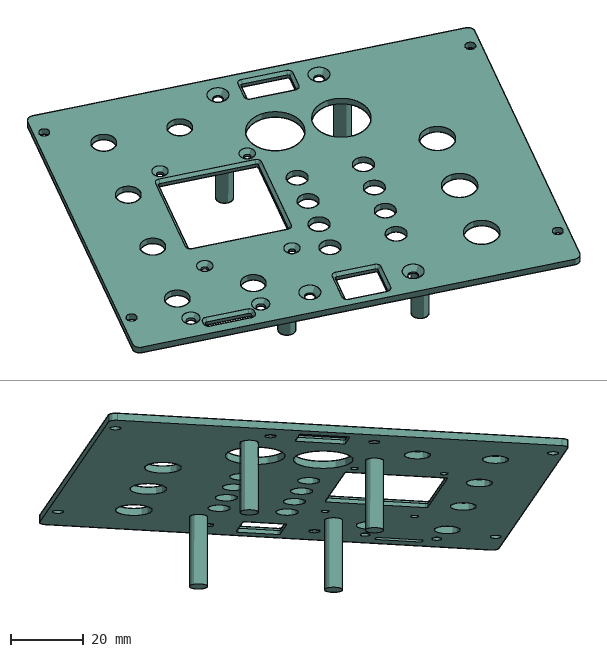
import cadquery as cq

PANEL_WIDTH = 101.3
PANEL_LENGTH = 128.4
PANEL_THICKNESS = 2.0
PANEL_CORNER_RADIUS = 2.0

TOTAL_HEIGHT = 22.0
STANDOFF_LENGTH = TOTAL_HEIGHT - PANEL_THICKNESS
STANDOFF_DIAMETER = 5.0
STANDOFF_CENTRES = [(-36.6, 22.5), (-26.6, -14.5), (35.3, 22.5), (31.2, -14.5)]

MOUNT_HOLE_DIAMETER = 3.0
MOUNT_SPACING_X = 81.0
MOUNT_SPACING_Y = 122.4
MOUNT_CENTRE_X = -2.6

JACK_DIAMETER = 10.0
JACK_SPACING = 20.5
JACK_ROW_CENTRE = (11.8, 41.1)
JACK_COUNT = 3

ROW_SPACING = 19.0
ROWS_CENTRE_Y = 9.0
LARGE_HOLE_DIAMETER = 16.3
LARGE_HOLE_X = -24.8
BUTTON_DIAMETER = 6.0
BUTTON_SPACING = 10.1
BUTTON_ROW_CENTRE_X = 10.8
BUTTON_COUNT = 4

KNOB_DIAMETER = 7.0
KNOB_SPACING = 22.7
KNOB_COUNT = 4
KNOB_ROW_Y = -46.9
KNOB_UPPER_Y = -25.0
KNOB_END_X = KNOB_SPACING * (KNOB_COUNT - 1) / 2

WINDOW_BEVEL = 0.9
BEVEL_ANGLE = 45
WINDOW_CORNER_RADIUS = 0.5

DISPLAY_SIZE = (28.6, 28.6)
DISPLAY_CENTRE = (0.1, -23.1)
DISPLAY_SCREW_SPACING = (41.5, 25.0)
DISPLAY_SCREW_CENTRE = (2.6, -23.1)

LEFT_WINDOW_SIZE = (6.7, 14.0)
LEFT_WINDOW_CENTRE = (-43.9, 3.5)
LEFT_SCREW_SPACING = 29.0

RIGHT_WINDOW_SIZE = (10.0, 12.2)
RIGHT_WINDOW_CENTRE = (42.4, 3.5)
RIGHT_SCREW_SPACING = 29.7

SLOT_SIZE = (1.9, 13.1)
SLOT_CENTRE = (45.8, -35.7)
SLOT_SCREW_X = 43.0
SLOT_SCREW_SPACING = 20.0

WINDOW_SCREW = (3.0, 6.0)
SLOT_SCREW = (2.7, 5.0)
DISPLAY_SCREW = (2.0, 4.5)
COUNTERSINK_ANGLE = 90


def row(count, spacing, centre):
    """Centres of a row of features along X."""
    start = centre[0] - spacing * (count - 1) / 2
    return [(start + spacing * i, centre[1]) for i in range(count)]


def pair(spacing, centre):
    """Centres of two features in line along Y."""
    return [(centre[0], centre[1] + side * spacing / 2) for side in (-1, 1)]


def rectangle(spacing_x, spacing_y, centre):
    """Corner points of a rectangle."""
    left, right = centre[0] - spacing_x / 2, centre[0] + spacing_x / 2
    return pair(spacing_y, (left, centre[1])) + pair(spacing_y, (right, centre[1]))


def rounded_block(width, length, height, corner_radius):
    """Upright block with round corners, hanging below Z = 0."""
    return cq.Workplane("XY").rect(width, length).extrude(-height).edges("|Z").fillet(corner_radius)


def top_plane(body):
    return body.faces(">Z").workplane(origin=(0, 0, 0))


def drill(body, diameter, centres):
    return top_plane(body).pushPoints(centres).hole(diameter)


def countersink(body, screw, centres):
    through_diameter, top_diameter = screw
    return top_plane(body).pushPoints(centres).cskHole(through_diameter, top_diameter, COUNTERSINK_ANGLE)


def cut_window(body, size, centre):
    """Cut a round-cornered opening that widens at 45 degrees towards the top face."""
    width, length = size
    opening = rounded_block(width, length, PANEL_THICKNESS, WINDOW_CORNER_RADIUS)
    top_opening = cq.Sketch().rect(width + 2 * WINDOW_BEVEL, length + 2 * WINDOW_BEVEL)
    top_opening = top_opening.vertices().fillet(WINDOW_CORNER_RADIUS + WINDOW_BEVEL)
    bevel = cq.Workplane("XY").placeSketch(top_opening).extrude(-WINDOW_BEVEL, taper=BEVEL_ANGLE)
    return body.cut(opening.union(bevel).translate((*centre, 0)))


def make_panel():
    panel = rounded_block(PANEL_WIDTH, PANEL_LENGTH, PANEL_THICKNESS, PANEL_CORNER_RADIUS)

    mount_centre = (MOUNT_CENTRE_X, 0)
    panel = drill(panel, MOUNT_HOLE_DIAMETER, rectangle(MOUNT_SPACING_X, MOUNT_SPACING_Y, mount_centre))

    panel = drill(panel, JACK_DIAMETER, row(JACK_COUNT, JACK_SPACING, JACK_ROW_CENTRE))

    panel = drill(panel, LARGE_HOLE_DIAMETER, pair(ROW_SPACING, (LARGE_HOLE_X, ROWS_CENTRE_Y)))
    for _, row_y in pair(ROW_SPACING, (0, ROWS_CENTRE_Y)):
        panel = drill(panel, BUTTON_DIAMETER, row(BUTTON_COUNT, BUTTON_SPACING, (BUTTON_ROW_CENTRE_X, row_y)))

    panel = drill(panel, KNOB_DIAMETER, row(KNOB_COUNT, KNOB_SPACING, (0, KNOB_ROW_Y)))
    panel = drill(panel, KNOB_DIAMETER, [(-KNOB_END_X, KNOB_UPPER_Y), (KNOB_END_X, KNOB_UPPER_Y)])

    panel = cut_window(panel, DISPLAY_SIZE, DISPLAY_CENTRE)
    panel = countersink(panel, DISPLAY_SCREW, rectangle(*DISPLAY_SCREW_SPACING, DISPLAY_SCREW_CENTRE))

    panel = cut_window(panel, LEFT_WINDOW_SIZE, LEFT_WINDOW_CENTRE)
    panel = countersink(panel, WINDOW_SCREW, pair(LEFT_SCREW_SPACING, LEFT_WINDOW_CENTRE))

    panel = cut_window(panel, RIGHT_WINDOW_SIZE, RIGHT_WINDOW_CENTRE)
    panel = countersink(panel, WINDOW_SCREW, pair(RIGHT_SCREW_SPACING, RIGHT_WINDOW_CENTRE))

    panel = cut_window(panel, SLOT_SIZE, SLOT_CENTRE)
    return countersink(panel, SLOT_SCREW, pair(SLOT_SCREW_SPACING, (SLOT_SCREW_X, SLOT_CENTRE[1])))


def make_standoff(centre):
    """Plain round post that hangs from the underside of the panel."""
    underside = cq.Workplane("XY", origin=(*centre, -PANEL_THICKNESS))
    return underside.circle(STANDOFF_DIAMETER / 2).extrude(-STANDOFF_LENGTH)


panel = make_panel()
standoffs = [make_standoff(centre) for centre in STANDOFF_CENTRES]

result = cq.Compound.makeCompound([panel.val(), *[standoff.val() for standoff in standoffs]])